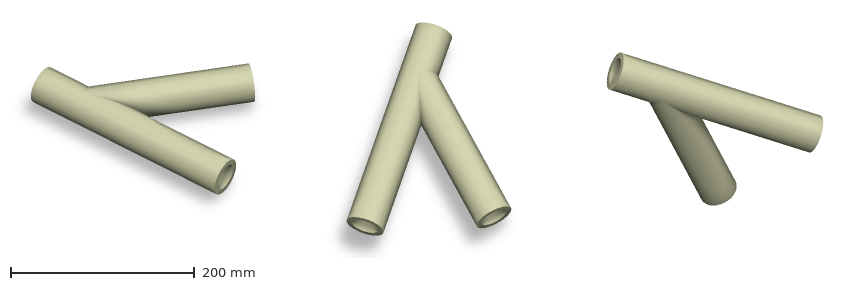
import cadquery as cq

run_length = 241.3
outer_diameter = 42.2
bore_diameter = 29.5

branch_angle = 45.0
branch_length = 184.0
junction_x = 57.5


def run_cylinder(diameter):
    """Cylinder along X over the full length of the run."""
    return cq.Workplane("YZ").circle(diameter / 2).extrude(run_length)


def branch_cylinder(diameter):
    """Cylinder from the junction point to the open end of the branch."""
    return (
        cq.Workplane("YZ")
        .circle(diameter / 2)
        .extrude(branch_length)
        .rotate((0, 0, 0), (0, 0, 1), branch_angle)
        .translate((junction_x, 0, 0))
    )


outer_body = run_cylinder(outer_diameter).union(branch_cylinder(outer_diameter))
bores = run_cylinder(bore_diameter).union(branch_cylinder(bore_diameter))

result = outer_body.cut(bores)